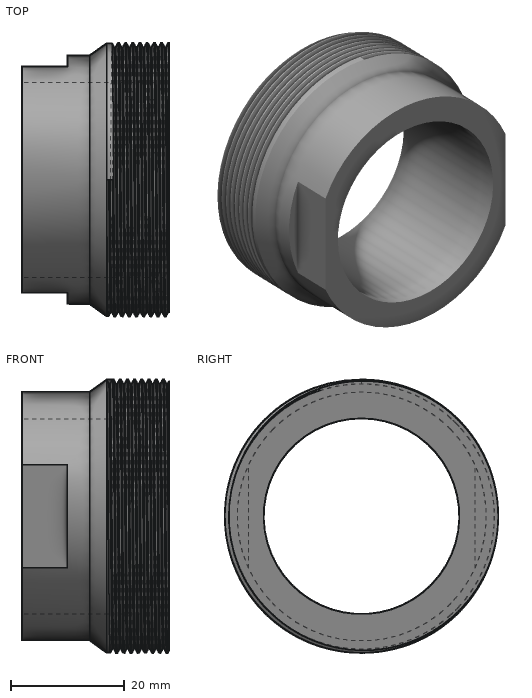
import cadquery as cq

total_length = 26.0
thread_radius = 24.15
body_radius = 22.0
bore_radius = 17.25

body_length = 12.0
cone_end = 15.0

flat_length = 8.0
flat_half_width = 20.0

thread_pitch = 1.27
groove_opening = 0.82 * thread_pitch
groove_root = 0.2 * thread_pitch
groove_depth = 0.72
groove_offset = 0.45
cutter_overlap = 0.15


def upright_sleeve():
    """Body, cone and collar around a through bore, standing on Z with its seam at +X."""
    return (
        cq.Workplane("XZ")
        .moveTo(bore_radius, 0)
        .lineTo(body_radius, 0)
        .lineTo(body_radius, body_length)
        .lineTo(thread_radius, cone_end)
        .lineTo(thread_radius, total_length)
        .lineTo(bore_radius, total_length)
        .close()
        .revolve(360, (0, 0, 0), (0, 1, 0))
    )


def flat_cutter(side):
    """Block that removes the body outside one wrench flat (side is +1 or -1)."""
    block_depth = thread_radius - flat_half_width
    return cq.Workplane("XY").box(flat_length, block_depth, 2 * thread_radius).translate(
        (flat_length / 2, side * (flat_half_width + block_depth / 2), 0)
    )


def thread_cutter():
    """Right-hand helical groove, starting at +X beside the cone and leaving through the far end."""
    groove_start = cone_end + groove_offset
    helix_height = total_length - groove_start + thread_pitch
    helix = cq.Wire.makeHelix(thread_pitch, helix_height, thread_radius)

    flank_run = (groove_opening - groove_root) / 2
    outer_half = groove_opening / 2 + cutter_overlap * flank_run / groove_depth
    root_half = groove_root / 2
    root_radius = thread_radius - groove_depth
    outer_radius = thread_radius + cutter_overlap
    section = cq.Workplane("XZ").polyline(
        [
            (root_radius, -root_half),
            (outer_radius, -outer_half),
            (outer_radius, outer_half),
            (root_radius, root_half),
        ]
    ).close()
    groove = section.sweep(cq.Workplane(obj=helix), isFrenet=True)

    return groove.translate((0, 0, groove_start))


def lay_along_x(upright):
    """Tip the Z axis onto +X, then roll the thread start from -Z up to +Z."""
    tipped = upright.rotate((0, 0, 0), (0, 1, 0), 90)
    return tipped.rotate((0, 0, 0), (1, 0, 0), 180)


result = lay_along_x(upright_sleeve().cut(thread_cutter()))
for side in (-1, 1):
    result = result.cut(flat_cutter(side))